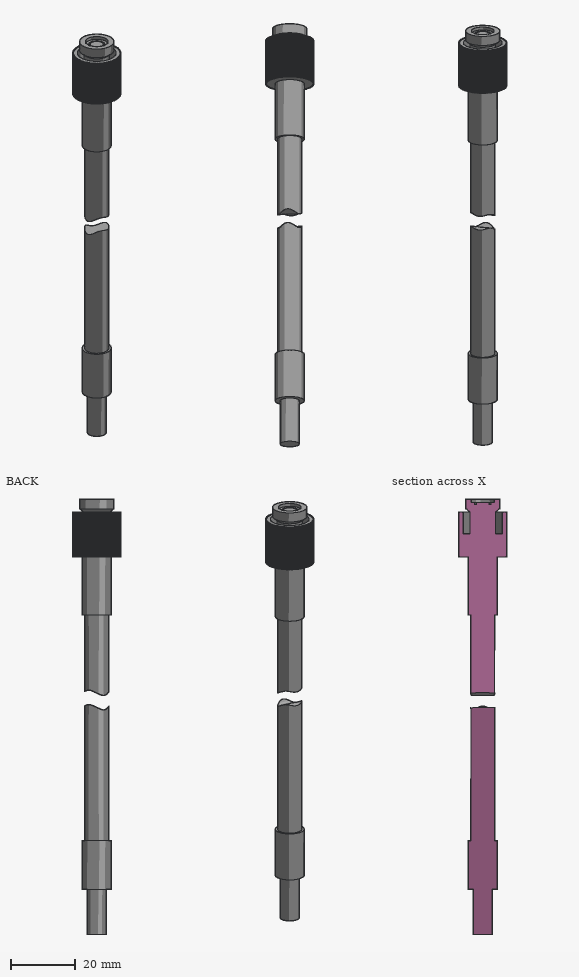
import cadquery as cq
import math

total_length = 135.0
collar_top = total_length - 3.9
collar_bottom = total_length - 18.0
upper_sleeve_bottom = total_length - 35.9
lower_sleeve_top = 29.2
lower_sleeve_bottom = 14.0

flange_diameter = 10.7
neck_diameter = 8.0
collar_diameter = 15.0
collar_bore_diameter = 12.0
sleeve_diameter = 9.0
cable_diameter = 7.5
tip_diameter = 6.0
socket_diameter = 7.0
gap_outer_diameter = 5.0
contact_diameter = 4.0

flange_height = 3.0
flange_taper_height = 1.1
collar_bore_depth = 6.8
socket_depth = 1.0
contact_gap_depth = 0.7

tooth_count = 120
tooth_height = 0.3

break_gap = 4.5
upper_break_z = 74.9
wave_height = 0.8
wave_reach = 2.0
wave_end_rise = 0.4


def cylinder(diameter, bottom, top):
    return cq.Workplane("XY").workplane(offset=bottom).circle(diameter / 2).extrude(top - bottom)


def ring(outer_diameter, inner_diameter, bottom, top):
    return cylinder(outer_diameter, bottom, top).cut(cylinder(inner_diameter, bottom, top))


def knurled_blank():
    """Collar outline with straight V-shaped teeth all round."""
    tip_radius = collar_diameter / 2
    root_radius = tip_radius - tooth_height
    outline = []
    for i in range(2 * tooth_count):
        radius = tip_radius if i % 2 == 0 else root_radius
        angle = math.pi * i / tooth_count
        outline.append((radius * math.cos(angle), radius * math.sin(angle)))
    return (
        cq.Workplane("XY")
        .workplane(offset=collar_bottom)
        .polyline(outline)
        .close()
        .extrude(collar_top - collar_bottom)
    )


def knurled_collar():
    """Knurled collar with an open bore at the top."""
    bore = cylinder(collar_bore_diameter, collar_top - collar_bore_depth, collar_top)
    return knurled_blank().cut(bore)


def connector_nose():
    """Flange on a tapered neck, with a socket around a central contact."""
    flange_bottom = total_length - flange_height
    taper_bottom = flange_bottom - flange_taper_height
    nose = (
        cq.Workplane("XZ")
        .polyline([
            (0, collar_top - collar_bore_depth),
            (neck_diameter / 2, collar_top - collar_bore_depth),
            (neck_diameter / 2, taper_bottom),
            (flange_diameter / 2, flange_bottom),
            (flange_diameter / 2, total_length),
            (0, total_length),
        ])
        .close()
        .revolve(360, (0, 0, 0), (0, 1, 0))
    )
    socket_floor = total_length - socket_depth
    socket = cylinder(socket_diameter, socket_floor, total_length)
    gap = ring(gap_outer_diameter, contact_diameter, socket_floor - contact_gap_depth, socket_floor)
    return nose.cut(socket).cut(gap)


def above_wave(wave_z, top):
    """Block above an S-shaped wave that dips at -X and crests at +X."""
    edge = cable_diameter / 2
    return (
        cq.Workplane("XZ")
        .workplane(offset=-cable_diameter)
        .spline([
            (-edge, wave_z + wave_end_rise),
            (-wave_reach, wave_z - wave_height),
            (wave_reach, wave_z + wave_height),
            (edge, wave_z + wave_end_rise),
        ])
        .lineTo(edge, top)
        .lineTo(-edge, top)
        .close()
        .extrude(2 * cable_diameter)
    )


def upper_cable():
    cable = cylinder(cable_diameter, upper_break_z - 2 * wave_height, upper_sleeve_bottom)
    cable = cable.intersect(above_wave(upper_break_z, upper_sleeve_bottom))
    sleeve = cylinder(sleeve_diameter, upper_sleeve_bottom, collar_bottom)
    return cable.union(sleeve).union(knurled_collar()).union(connector_nose())


def lower_cable():
    lower_break_z = upper_break_z - break_gap
    cable = cylinder(cable_diameter, lower_sleeve_top, upper_break_z)
    cable = cable.cut(above_wave(lower_break_z, upper_break_z))
    sleeve = cylinder(sleeve_diameter, lower_sleeve_bottom, lower_sleeve_top)
    tip = cylinder(tip_diameter, 0, lower_sleeve_bottom)
    return cable.union(sleeve).union(tip)


result = cq.Compound.makeCompound([upper_cable().val(), lower_cable().val()])